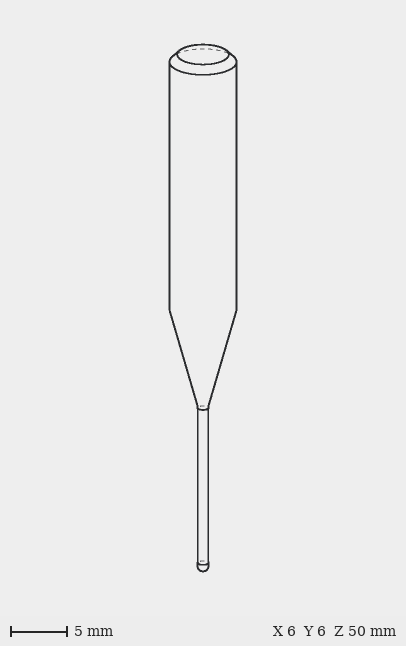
import cadquery as cq
import math

overall_length = 50.0
shank_radius = 3.0
shank_chamfer = 0.7

ball_radius = 0.5
cutter_length = 0.8
neck_radius = 0.475
neck_length = 15.0
collar_length = 0.2
cone_half_angle = 15.0

neck_top = cutter_length + neck_length
collar_top = neck_top + collar_length
cone_height = (shank_radius - ball_radius) / math.tan(math.radians(cone_half_angle))
cone_top = collar_top + cone_height


def revolve_about_axis(profile):
    """Turn a closed half profile, drawn in XZ, a full revolution about Z."""
    return profile.close().revolve(360, (0, 0, 0), (0, 1, 0))


def make_cutter():
    """Ball-ended cutting tip."""
    arc_offset = ball_radius * math.sqrt(0.5)
    profile = (
        cq.Workplane("XZ")
        .moveTo(0, 0)
        .threePointArc((arc_offset, ball_radius - arc_offset), (ball_radius, ball_radius))
        .lineTo(ball_radius, cutter_length)
        .lineTo(0, cutter_length)
    )
    return revolve_about_axis(profile)


def make_shank():
    """Slim neck, collar, cone and chamfered clamping shank in one turned piece."""
    profile = (
        cq.Workplane("XZ")
        .moveTo(0, cutter_length)
        .lineTo(neck_radius, cutter_length)
        .lineTo(neck_radius, neck_top)
        .lineTo(ball_radius, neck_top)
        .lineTo(ball_radius, collar_top)
        .lineTo(shank_radius, cone_top)
        .lineTo(shank_radius, overall_length - shank_chamfer)
        .lineTo(shank_radius - shank_chamfer, overall_length)
        .lineTo(0, overall_length)
    )
    return revolve_about_axis(profile)


cutter = make_cutter()
shank = make_shank()

result = cq.Compound.makeCompound([cutter.val(), shank.val()])